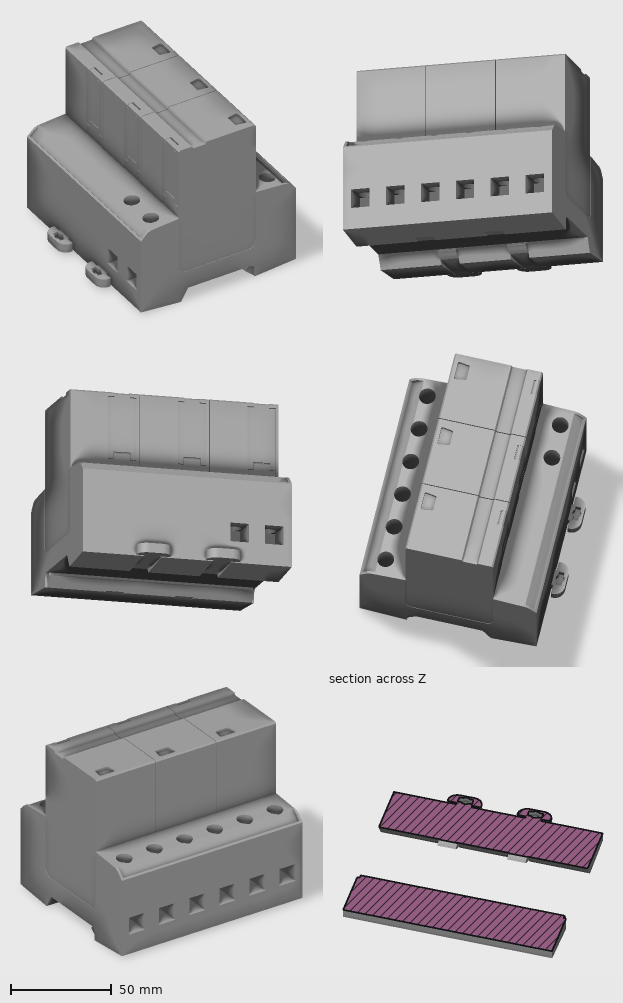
import cadquery as cq
import math

width = 108.0
height = 90.7
module_count = 3
pitch = width / module_count
terminal_pitch = pitch / 2
module_centers = [(i - (module_count - 1) / 2) * pitch for i in range(module_count)]

base_depth = 90.1
half_depth = base_depth / 2
edge_z = 1.9
shoulder_z = 50.3
corner_y = 40.4
corner_z = 49.0
chamfer_z = 44.5
shoulder_radius = 5.4

slot_ceiling = 7.0
back_foot_y = 21.0
front_foot_y = -21.7
front_slot_y = -17.6
slot_radius = 2.8

end_wall = 1.3
inner_width = width - 2 * end_wall
label_lip = 0.9
front_label_depth = 0.9
back_label_depth = 1.9

module_gap = 0.4
module_width = pitch - module_gap
module_front = -22.9
module_back = 21.8
module_bottom = 17.4
module_radius = 4.3
module_chamfer = 0.8
groove_front = -15.2
groove_back = -6.8
groove_slope = 0.8
groove_depth = 1.3

feature_offset = terminal_pitch / 2

screw_diameter = 8.3
screw_y = 33.8
front_terminal_count = 2
wire_window = 9.5
wire_window_z = 17.6
screw_bottom = wire_window_z - wire_window / 2
wire_window_depth = half_depth - screw_y + screw_diameter / 2


def along_x(points, length):
    """Prism of length centred on X = 0, with a closed (Y, Z) outline."""
    return cq.Workplane("YZ").polyline(points).close().extrude(length / 2, both=True)


def box(x, y, z):
    """Box given by its (low, high) limits along each axis."""
    size = (x[1] - x[0], y[1] - y[0], z[1] - z[0])
    return cq.Workplane("XY").box(*size, centered=False).translate((x[0], y[0], z[0]))


def make_base():
    outline = [
        (half_depth, edge_z),
        (half_depth, chamfer_z),
        (corner_y, corner_z),
        (module_back, shoulder_z),
        (module_front, shoulder_z),
        (-corner_y, corner_z),
        (-half_depth, chamfer_z),
        (-half_depth, edge_z),
        (front_foot_y, 0),
        (front_slot_y, slot_ceiling),
        (back_foot_y, slot_ceiling),
        (back_foot_y, 0),
    ]
    base = along_x(outline, width)
    for y, z, radius in (
        (corner_y, corner_z, shoulder_radius),
        (-corner_y, corner_z, shoulder_radius),
        (back_foot_y, slot_ceiling, slot_radius),
    ):
        base = base.edges(cq.selectors.NearestToPointSelector((0, y, z))).fillet(radius)
    return base


def make_label_recess(side, depth):
    """Recess along the shoulder chamfer; side is -1 for the front and 1 for the back."""
    slope = math.atan2(corner_z - chamfer_z, half_depth - corner_y)
    lip_y = half_depth - label_lip
    lip_z = chamfer_z + label_lip * math.tan(slope)
    floor_y = lip_y - depth * math.sin(slope)
    floor_z = lip_z - depth * math.cos(slope)
    rise = height - floor_z
    outline = [
        (side * lip_y, lip_z),
        (side * floor_y, floor_z),
        (side * (floor_y - rise / math.tan(slope)), height),
        (side * lip_y, height),
    ]
    return along_x(outline, inner_width)


def make_module_slot():
    slot = box((-width / 2, width / 2), (module_front, module_back), (module_bottom, height))
    return slot.edges("|X and <Z").fillet(module_radius)


def make_rail_hook():
    tip_y, tip_z = 15.8, 4.5
    root_y, root_z = 18.0, 5.8
    outline = [
        (back_foot_y, 0),
        (tip_y, tip_z),
        (root_y, root_z),
        (root_y, slot_ceiling),
        (back_foot_y, slot_ceiling),
    ]
    return along_x(outline, inner_width)


def cut_terminal(body, x, side):
    """Screw hole from above and wire window from the outer face."""
    hole = (
        cq.Workplane("XY", origin=(x, side * screw_y, screw_bottom))
        .circle(screw_diameter / 2)
        .extrude(height - screw_bottom)
    )
    window = cq.Workplane("XY").box(wire_window, wire_window_depth, wire_window)
    window_y = side * (half_depth - wire_window_depth / 2)
    return body.cut(hole).cut(window.translate((x, window_y, wire_window_z)))


slider_width = 9.5
slider_bottom = 2.2
slider_top = 6.0
slider_tip = (-14.8, 5.0)
slider_curve_start = -19.8
slider_curve_mid = (-17.2, 3.2)
slider_bevel_y = -15.7
foot_relief = 0.4
neck_width = 8.4
tab_width = 17.5
tab_back = -45.9
tab_front = -52.0
tab_radius = 5.1
tool_hole_y = -48.6
tool_hole_diameter = 4.4
tool_slot = (7.1, 2.8)
tool_hole_depth = 3.2


def make_slider_channel():
    """Channel through the front foot that holds the slider, and a shallow relief under both feet."""
    half = slider_width / 2
    channel = box((-half, half), (-half_depth, front_slot_y), (0, slot_ceiling))
    relief = box((-half, half), (-half_depth, half_depth), (0, foot_relief))
    return channel.union(relief)


def make_slider():
    bar = (
        cq.Workplane("YZ")
        .moveTo(-half_depth, slot_ceiling)
        .lineTo(-half_depth, slider_bottom)
        .lineTo(slider_curve_start, slider_bottom)
        .threePointArc(slider_curve_mid, slider_tip)
        .lineTo(slider_bevel_y, slider_top)
        .lineTo(front_slot_y, slider_top)
        .lineTo(front_slot_y, slot_ceiling)
        .close()
        .extrude(slider_width / 2, both=True)
    )
    tab_z = (slider_bottom, slot_ceiling)
    neck = box((-neck_width / 2, neck_width / 2), (tab_back, -half_depth), tab_z)
    tab = box((-tab_width / 2, tab_width / 2), (tab_front, tab_back), tab_z)
    tab = tab.edges("|Z and <Y").fillet(tab_radius)
    tool_plane = cq.Workplane("XY", origin=(0, tool_hole_y, slot_ceiling - tool_hole_depth))
    tool_hole = tool_plane.circle(tool_hole_diameter / 2).extrude(tool_hole_depth)
    tool_hole = tool_hole.union(tool_plane.rect(*tool_slot).extrude(tool_hole_depth))
    return bar.union(neck).union(tab).cut(tool_hole)


panel_width = 14.6
panel_top = 88.6
panel_bottom = 56.2
panel_depth = 0.2
panel_seam = 0.4
seam_depth = 0.9
wide_seam = 0.9
tab_strip_width = 7.8
tab_strip_back = -19.7
finger_width = 8.9
finger_top = 60.3
flank_seam = 0.2
pocket_back = 19.2
pocket_front = 13.1
pocket_back_width = 9.7
pocket_front_width = 7.8
pocket_depth = 1.6
pocket_radius = 0.8


def make_module_block():
    half = module_width / 2
    block = box((-half, half), (module_front, module_back), (module_bottom, height))
    block = block.edges("|X and <Z").fillet(module_radius)
    block = block.edges("|X and >Z").chamfer(module_chamfer)
    groove = [
        (groove_front, height),
        (groove_front + groove_slope, height - groove_depth),
        (groove_back - groove_slope, height - groove_depth),
        (groove_back, height),
    ]
    return block.cut(along_x(groove, module_width))


def make_top_pocket():
    outline = [
        (-pocket_back_width / 2, pocket_back),
        (pocket_back_width / 2, pocket_back),
        (pocket_front_width / 2, pocket_front),
        (-pocket_front_width / 2, pocket_front),
    ]
    floor = cq.Workplane("XY", origin=(0, 0, height - pocket_depth))
    return floor.polyline(outline).close().extrude(pocket_depth).edges("|Z").fillet(pocket_radius)


def make_panel_recess():
    """Shallow recess on the module front, with a strip that folds over the top edge."""
    half = panel_width / 2
    floor_y = module_front + panel_depth
    face = box((-half, half), (module_front, floor_y), (shoulder_z, panel_top))
    strip_z = height - panel_depth
    strip = [
        (module_front, panel_top),
        (floor_y, panel_top),
        (floor_y, strip_z - module_chamfer),
        (floor_y + module_chamfer, strip_z),
        (tab_strip_back, strip_z),
        (tab_strip_back, height),
        (module_front, height),
    ]
    return face.union(along_x(strip, tab_strip_width))


def make_panel_seams():
    """Seams around the panel: at both ends, around the finger and behind the strip."""
    half = panel_width / 2
    strip_half = tab_strip_width / 2
    finger_half = finger_width / 2
    floor_y = module_front + panel_depth
    seam_y = (floor_y, floor_y + seam_depth)
    seam_z = height - panel_depth - seam_depth
    seams = box((-finger_half, finger_half), seam_y, (finger_top - wide_seam, finger_top))
    seams = seams.union(
        box((-strip_half, strip_half), (tab_strip_back - wide_seam, tab_strip_back), (seam_z, height))
    )
    for side in (-1, 1):
        beside_finger = sorted((side * finger_half, side * half))
        beside_strip = sorted((side * strip_half, side * half))
        seams = seams.union(box(beside_finger, seam_y, (panel_bottom, panel_bottom + panel_seam)))
        seams = seams.union(box(beside_strip, seam_y, (panel_top - panel_seam, panel_top)))
        flank = sorted((side * finger_half, side * (finger_half - flank_seam)))
        seams = seams.union(box(flank, seam_y, (panel_bottom, finger_top)))
    return seams


def make_module():
    shift = (feature_offset, 0, 0)
    module = make_module_block()
    for cutter in (make_top_pocket(), make_panel_recess(), make_panel_seams()):
        module = module.cut(cutter.translate(shift))
    return module


body = make_base()
body = body.cut(make_label_recess(-1, front_label_depth))
body = body.cut(make_label_recess(1, back_label_depth))
body = body.cut(make_module_slot())
body = body.union(make_rail_hook())

terminal_count = 2 * module_count
terminal_xs = [(i - (terminal_count - 1) / 2) * terminal_pitch for i in range(terminal_count)]
for x in terminal_xs:
    body = cut_terminal(body, x, 1)
for x in terminal_xs[-front_terminal_count:]:
    body = cut_terminal(body, x, -1)

for left, right in zip(module_centers, module_centers[1:]):
    joint = ((left + right) / 2, 0, 0)
    body = body.cut(make_slider_channel().translate(joint))
    body = body.union(make_slider().translate(joint))

module = make_module()
for x in module_centers:
    body = body.union(module.translate((x, 0, 0)))

result = body